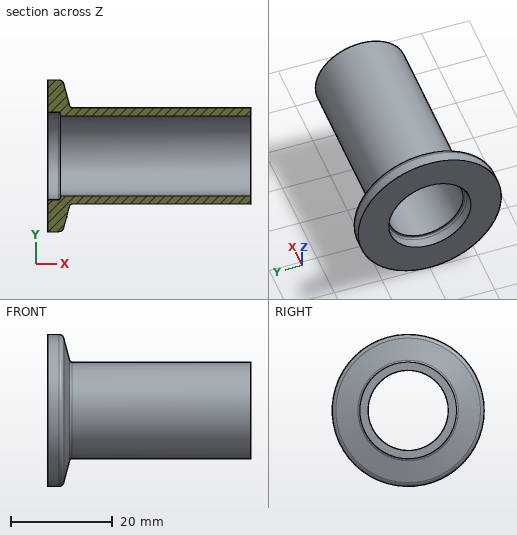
import cadquery as cq
import math

length = 40.0
flange_radius = 30.0 / 2
tube_radius = 19.05 / 2
wall = 1.65
bore_radius = tube_radius - wall

rim_width = 2.2
edge_radius = 1.0
root_radius = 0.5
cone_angle = math.radians(15)

recess_radius = 17.2 / 2
recess_depth = 2.5
recess_corner_radius = 0.35


def arc_point(center, radius, angle):
    """Point on an arc in the (axial, radial) plane, angle measured from +X."""
    return (
        center[0] + radius * math.cos(angle),
        center[1] + radius * math.sin(angle),
    )


def flanged_tube():
    """Solid of revolution about X, without its bore."""
    edge_center = (rim_width, flange_radius - edge_radius)
    edge_end = arc_point(edge_center, edge_radius, cone_angle)
    edge_middle = arc_point(edge_center, edge_radius, (math.pi / 2 + cone_angle) / 2)

    root_center_r = tube_radius + root_radius
    root_start_r = root_center_r - root_radius * math.sin(cone_angle)
    root_start_x = edge_end[0] + (edge_end[1] - root_start_r) * math.tan(cone_angle)
    root_center = (root_start_x + root_radius * math.cos(cone_angle), root_center_r)
    root_start_angle = math.pi + cone_angle
    root_end_angle = 3 * math.pi / 2
    root_middle = arc_point(root_center, root_radius, (root_start_angle + root_end_angle) / 2)

    profile = (
        cq.Workplane("XY")
        .lineTo(0, flange_radius)
        .lineTo(rim_width, flange_radius)
        .threePointArc(edge_middle, edge_end)
        .lineTo(root_start_x, root_start_r)
        .threePointArc(root_middle, (root_center[0], tube_radius))
        .lineTo(length, tube_radius)
        .lineTo(length, 0)
        .close()
    )
    return profile.revolve(360, (0, 0, 0), (1, 0, 0))


def bore():
    """Through bore along X."""
    return cq.Workplane("YZ").circle(bore_radius).extrude(length)


def recess():
    """Recess in the flange face with a rounded bottom corner."""
    cylinder = cq.Workplane("YZ").circle(recess_radius).extrude(recess_depth)
    return cylinder.faces(">X").edges().fillet(recess_corner_radius)


result = flanged_tube().cut(bore()).cut(recess())